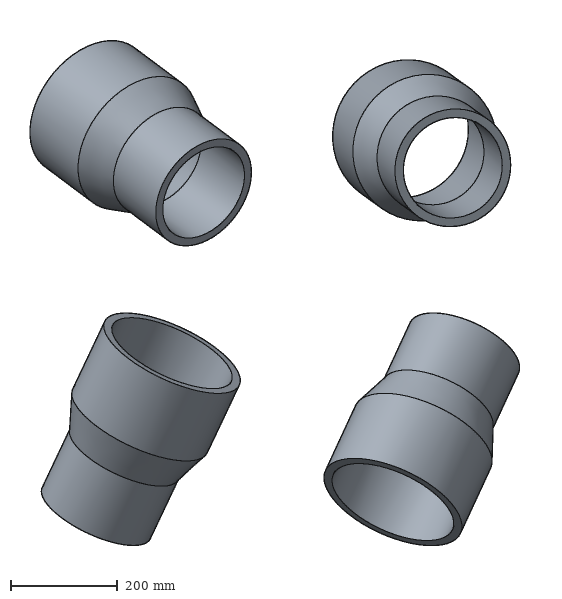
import math

import cadquery as cq

total_length = 357.0
large_length = 150.5
small_length = 132.5

large_outer_diameter = 280.0
large_bore_diameter = 246.7
small_outer_diameter = 225.0
small_bore_diameter = 191.7

taper_start = large_length
taper_end = total_length - small_length

wall = (large_outer_diameter - large_bore_diameter) / 2
radius_drop = (large_outer_diameter - small_outer_diameter) / 2
cone_angle = math.atan2(radius_drop, taper_end - taper_start)
bore_shift = wall * math.tan(cone_angle / 2)


def stepped_solid(large_diameter, small_diameter, cone_start, cone_end):
    """Two cylinders joined by a cone, revolved about the X axis."""
    large_radius = large_diameter / 2
    small_radius = small_diameter / 2
    half_profile = [
        (0, 0),
        (0, large_radius),
        (cone_start, large_radius),
        (cone_end, small_radius),
        (total_length, small_radius),
        (total_length, 0),
    ]
    return cq.Workplane("XY").polyline(half_profile).close().revolve(360, (0, 0, 0), (1, 0, 0))


body = stepped_solid(large_outer_diameter, small_outer_diameter, taper_start, taper_end)
bore = stepped_solid(
    large_bore_diameter,
    small_bore_diameter,
    taper_start - bore_shift,
    taper_end - bore_shift,
)

result = body.cut(bore)